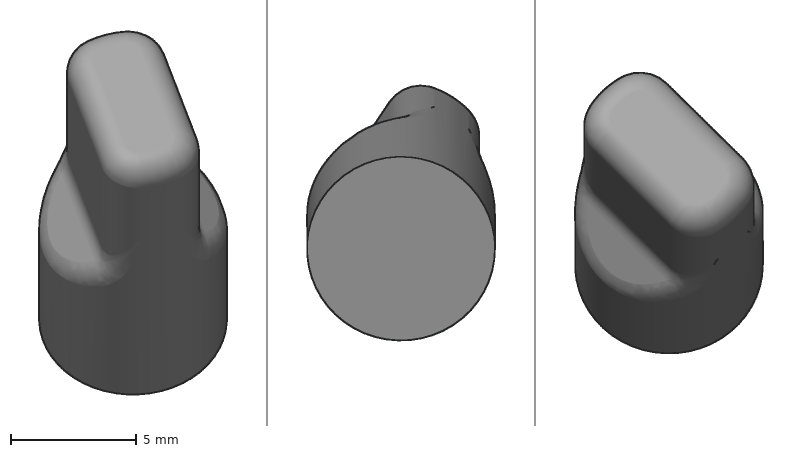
import cadquery as cq

height = 15.0
diameter = 7.5
radius = diameter / 2

blade_thickness = 4.0
blade_corner_radius = 1.5
half_blade = blade_thickness / 2

shoulder_root_height = 8.13
shoulder_rim_height = shoulder_root_height + half_blade - radius
edge_radius = 1.0

clearance = 0.15


def round_stem(length):
    return cq.Workplane("XY").circle(radius).extrude(length)


def blade(length):
    """Round stem cut to two parallel flats, its four upright corners rounded."""
    slab = cq.Workplane("XY").rect(2 * diameter, blade_thickness).extrude(length)
    flats = round_stem(length).intersect(slab)
    for side in (">Y", "<Y"):
        flats = flats.faces(side).edges("|Z").fillet(blade_corner_radius)
    return flats


def blade_on_slope():
    """Blade standing on an endless 45 degree slope, with a rolled root all around it."""
    axis_height = shoulder_root_height + half_blade
    slope = (
        cq.Workplane("YZ")
        .moveTo(-diameter, 0)
        .lineTo(-diameter, axis_height + diameter)
        .lineTo(diameter, axis_height - diameter)
        .lineTo(diameter, 0)
        .close()
        .extrude(diameter, both=True)
    )
    standing = slope.union(blade(2 * height))
    around_blade = cq.selectors.BoxSelector(
        (-radius - clearance, -half_blade - clearance, shoulder_rim_height),
        (radius + clearance, half_blade + clearance, height),
        boundingbox=True,
    )
    return standing.edges(around_blade).fillet(edge_radius)


def half_body():
    """The +Y half of the part, with its shoulder rim rounded."""
    half_space = cq.Workplane("XY").rect(2 * diameter, diameter).extrude(height)
    half_space = half_space.translate((0, radius, 0))
    half = round_stem(height).intersect(blade_on_slope()).intersect(half_space)
    at_rim = cq.selectors.BoxSelector(
        (-radius - clearance, 0, shoulder_rim_height - clearance),
        (radius + clearance, radius + clearance, shoulder_root_height),
        boundingbox=True,
    )
    return half.edges(at_rim).edges(">Y").fillet(edge_radius)


half = half_body()
body = half.union(half.mirror("XZ")).clean()
result = body.faces(">Z").edges().fillet(edge_radius)